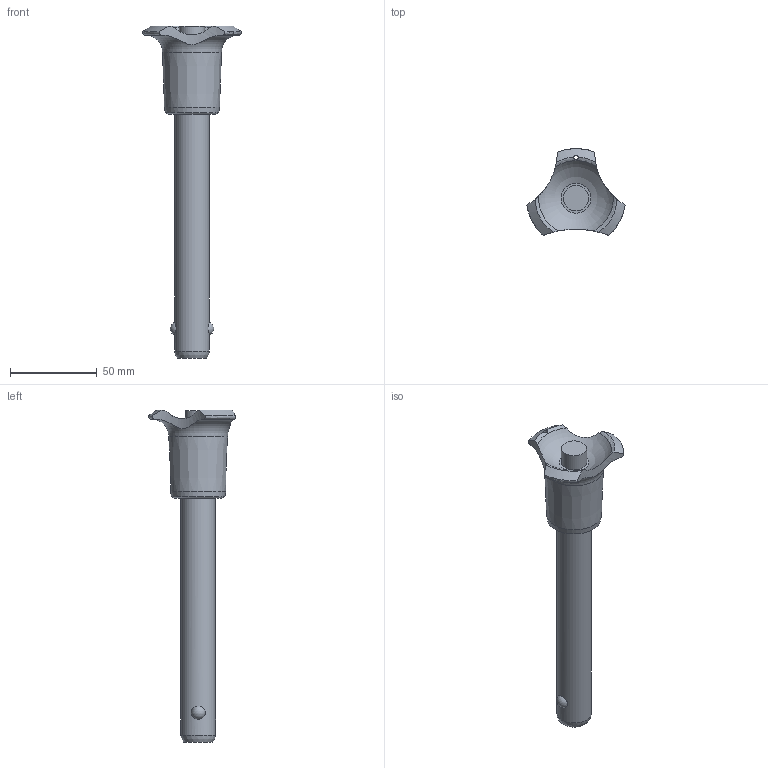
import math

import cadquery as cq

OVERALL_LENGTH = 191.2

HANDLE_HEIGHT = 50.8
BASE_RADIUS = 15.85
BASE_STEP = 0.7
BASE_BEVEL_HEIGHT = 3.9
BASE_BEVEL_RADIUS = 15.4
BASE_FACE_RADIUS = 13.4
NECK_RADIUS = 17.0
NECK_Z = HANDLE_HEIGHT - 15.0

FLARE_RADIUS = 9.7
RIM_RADIUS = 28.52
RIM_EDGE_DROP = 3.2
RIM_NOSE_DROP = 4.3
CREST_RADIUS = 23.6
CREST_DROP = 0.25

DISH_EDGE_RADIUS = 21.5
DISH_EDGE_DROP = 1.0
DISH_SAG = 1.2
DISH_FLOOR_RADIUS = 8.6
DISH_FLOOR_DROP = 10.5
BUTTON_RADIUS = 7.3
BUTTON_DROP = 0.5

SCALLOP_INNER_DISTANCE = 17.9
SIDE_SCALLOP_DIRECTIONS = (30, 150)
FRONT_SCALLOP_DIRECTION = 270
SIDE_SCALLOP_HALF_ANGLE = 38.1
FRONT_SCALLOP_HALF_ANGLE = 41.4
CUT_OVERRUN = 1.0

LANYARD_HOLE_DISTANCE = 23.3
LANYARD_HOLE_DIAMETER = 2.6

SHANK_RADIUS = 10.0
SHANK_TIP_RADIUS = 8.5
SHANK_TIP_HEIGHT = 4.0
SHANK_TIP_BULGE = 0.35
BALL_RADIUS = 4.1
BALL_SPREAD = 25.0
BALL_HEIGHT = 16.9

SHANK_BOTTOM_Z = HANDLE_HEIGHT - OVERALL_LENGTH
DISH_FLOOR_Z = HANDLE_HEIGHT - DISH_FLOOR_DROP


def revolve_profile(profile):
    """Close an XZ half-profile and turn it about the Z axis."""
    return profile.close().revolve(360, (0, 0, 0), (0, 1, 0))


def make_handle():
    """Tapered grip with a flared rim and a dished top."""
    flare_end = (NECK_RADIUS + FLARE_RADIUS, NECK_Z + FLARE_RADIUS)
    flare_offset = FLARE_RADIUS * (1 - math.cos(math.radians(45)))
    flare_middle = (NECK_RADIUS + flare_offset, NECK_Z + FLARE_RADIUS - flare_offset)
    dish_edge = (DISH_EDGE_RADIUS, HANDLE_HEIGHT - DISH_EDGE_DROP)
    crest_middle = (
        (CREST_RADIUS + DISH_EDGE_RADIUS) / 2,
        HANDLE_HEIGHT - CREST_DROP,
    )
    profile = (
        cq.Workplane("XZ")
        .lineTo(BASE_FACE_RADIUS, 0)
        .lineTo(BASE_BEVEL_RADIUS, BASE_STEP)
        .lineTo(BASE_RADIUS, BASE_BEVEL_HEIGHT)
        .lineTo(NECK_RADIUS, NECK_Z)
        .threePointArc(flare_middle, flare_end)
        .threePointArc(
            (RIM_RADIUS, HANDLE_HEIGHT - RIM_NOSE_DROP),
            (RIM_RADIUS, HANDLE_HEIGHT - RIM_EDGE_DROP),
        )
        .lineTo(CREST_RADIUS, HANDLE_HEIGHT)
        .threePointArc(crest_middle, dish_edge)
        .sagittaArc((DISH_FLOOR_RADIUS, DISH_FLOOR_Z), DISH_SAG)
        .lineTo(0, DISH_FLOOR_Z)
    )
    return revolve_profile(profile)


def make_scallop_cutter(direction, half_angle):
    """Upright cutter, concave to the rim, centred on a direction in degrees from +X."""
    half_width = RIM_RADIUS * math.sin(math.radians(half_angle))
    end_distance = RIM_RADIUS * math.cos(math.radians(half_angle))
    depth = end_distance - SCALLOP_INNER_DISTANCE
    arc_radius = (half_width**2 + depth**2) / (2 * depth)
    return (
        cq.Workplane("XY")
        .center(SCALLOP_INNER_DISTANCE + arc_radius, 0)
        .circle(arc_radius)
        .extrude(HANDLE_HEIGHT + CUT_OVERRUN)
        .rotate((0, 0, 0), (0, 0, 1), direction)
    )


def make_lanyard_hole():
    """Vertical hole through the rim of the +Y lobe."""
    return (
        cq.Workplane("XY")
        .center(0, LANYARD_HOLE_DISTANCE)
        .circle(LANYARD_HOLE_DIAMETER / 2)
        .extrude(HANDLE_HEIGHT + CUT_OVERRUN)
    )


def make_button():
    """Release button standing on the dish floor."""
    return (
        cq.Workplane("XY", origin=(0, 0, DISH_FLOOR_Z))
        .circle(BUTTON_RADIUS)
        .extrude(DISH_FLOOR_DROP - BUTTON_DROP)
    )


def make_shank():
    """Plain pin with a rounded lead-in at its tip."""
    tip_top = (SHANK_RADIUS, SHANK_BOTTOM_Z + SHANK_TIP_HEIGHT)
    profile = (
        cq.Workplane("XZ")
        .moveTo(0, SHANK_BOTTOM_Z)
        .lineTo(SHANK_TIP_RADIUS, SHANK_BOTTOM_Z)
        .sagittaArc(tip_top, -SHANK_TIP_BULGE)
        .lineTo(SHANK_RADIUS, 0)
        .lineTo(0, 0)
    )
    return revolve_profile(profile)


def make_ball(side):
    """Locking ball on the +X (side = 1) or -X (side = -1) flank of the shank."""
    centre_x = side * (BALL_SPREAD / 2 - BALL_RADIUS)
    centre = (centre_x, 0, SHANK_BOTTOM_Z + BALL_HEIGHT)
    return cq.Workplane("XY", origin=centre).sphere(BALL_RADIUS)


handle = make_handle()
for side_direction in SIDE_SCALLOP_DIRECTIONS:
    handle = handle.cut(make_scallop_cutter(side_direction, SIDE_SCALLOP_HALF_ANGLE))
handle = handle.cut(make_scallop_cutter(FRONT_SCALLOP_DIRECTION, FRONT_SCALLOP_HALF_ANGLE))
handle = handle.cut(make_lanyard_hole())

result = handle.union(make_button()).union(make_shank())
for ball_side in (1, -1):
    result = result.union(make_ball(ball_side))